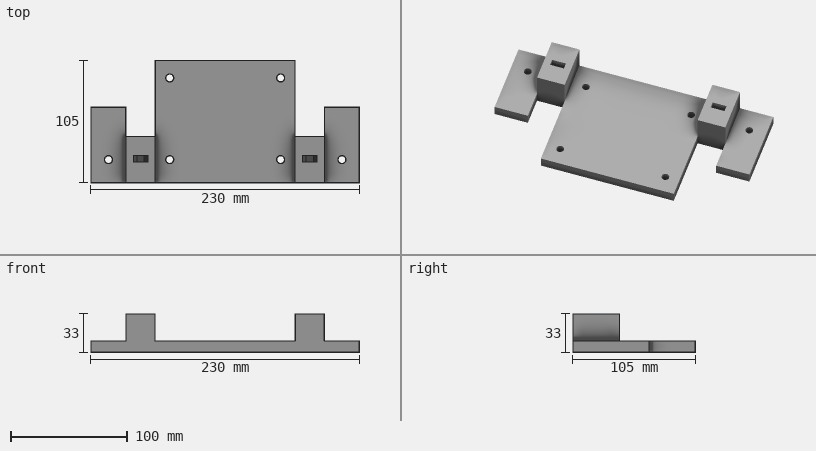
import cadquery as cq
import math

base_thickness = 10.0
panel_width = 120.0
panel_depth = 105.0
bridge_width = 25.0
bridge_depth = 40.0
tab_width = 30.0
tab_depth = 65.0

block_height = 23.0

hole_diameter = 6.6
hole_front_y = 20.0
panel_hole_spacing_x = 95.0
panel_hole_spacing_y = 70.0

nut_corner_width = 12.5
slot_thickness = 5.5
slot_front_y = 18.0
hexagon_sector = math.radians(60)

total_height = base_thickness + block_height
panel_half = panel_width / 2
tab_inner_x = panel_half + bridge_width
block_center_x = panel_half + bridge_width / 2
tab_center_x = tab_inner_x + tab_width / 2
nut_center_z = base_thickness + block_height / 2


def front_box(center_x, width, depth, height):
    """Box on the ground plane with its front face on y = 0."""
    return (
        cq.Workplane("XY")
        .box(width, depth, height, centered=(True, False, False))
        .translate((center_x, 0, 0))
    )


def nut_slot(center_x):
    """Upright slot whose floor follows the lower three sides of a hexagon."""
    half_corner = nut_corner_width / 2
    half_flat = half_corner / 2
    floor_z = nut_center_z - half_corner * math.sin(hexagon_sector)
    outline = [
        (center_x - half_corner, total_height),
        (center_x - half_corner, nut_center_z),
        (center_x - half_flat, floor_z),
        (center_x + half_flat, floor_z),
        (center_x + half_corner, nut_center_z),
        (center_x + half_corner, total_height),
    ]
    return (
        cq.Workplane("XZ", origin=(0, slot_front_y, 0))
        .polyline(outline)
        .close()
        .extrude(-slot_thickness)
    )


def screw_holes():
    """Cylinders for the four panel holes and the hole in each tab."""
    half_spacing = panel_hole_spacing_x / 2
    hole_back_y = hole_front_y + panel_hole_spacing_y
    centers = []
    for side in (-1, 1):
        centers.append((side * half_spacing, hole_front_y))
        centers.append((side * half_spacing, hole_back_y))
        centers.append((side * tab_center_x, hole_front_y))
    return (
        cq.Workplane("XY")
        .pushPoints(centers)
        .circle(hole_diameter / 2)
        .extrude(base_thickness)
    )


def build_part():
    part = front_box(0, panel_width, panel_depth, base_thickness)
    for side in (-1, 1):
        part = part.union(front_box(side * block_center_x, bridge_width, bridge_depth, total_height))
        part = part.union(front_box(side * tab_center_x, tab_width, tab_depth, base_thickness))
    part = part.clean()
    for side in (-1, 1):
        part = part.cut(nut_slot(side * block_center_x))
    return part.cut(screw_holes())


result = build_part()